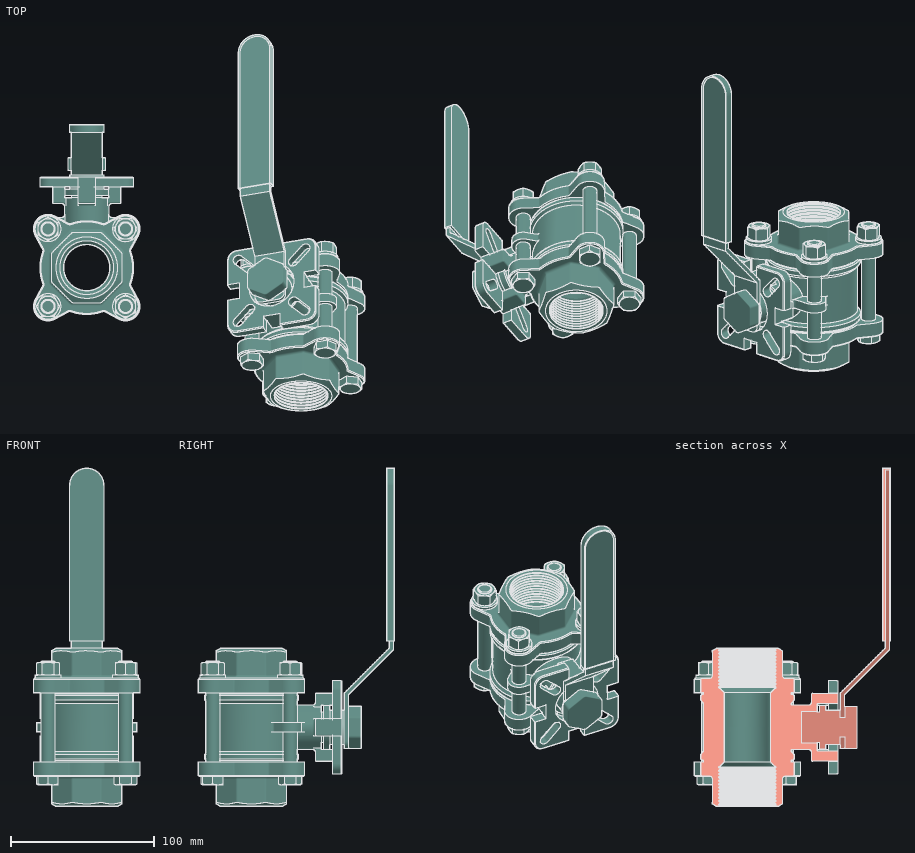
import cadquery as cq
import math


valve_half_length = 55.0
bore_diameter = 32.0
thread_crest_diameter = 37.4
thread_depth = 1.2
thread_pitch = 2.4
thread_count = 12
thread_flat = 0.5
body_radius = 30.5
ring_radius = 65.0 / 2
ring_bottom = 18.8
ring_top = 23.0
ring_cone_height = 2.0
ring_chamfer = 1.0
flange_bottom = 24.0
flange_top = 34.0
flange_chamfer = 0.7
flange_corner_fillet = 2.0
lug_radius = 10.0
lug_flank_angle = 28.5
octagon_across_flats = 48.9
octagon_edge_fillet = 2.0
octagon_cove = 2.0
octagon_end_diameter = 42.8
octagon_end_angle = 30

bolt_offset = 26.9
bolt_diameter = 9.9
bolt_chamfer = 0.7
bolt_end = 46.0
bolt_across_flats = 14.0
nut_bottom = 36.2
nut_top = 45.1
washer_radius = 9.0
head_height = 5.9
bolt_bevel_angle = 30

rest_thickness = 6.3
rest_radius = 8.0
rest_fillet = 1.9

neck_diameter = 31.0
neck_top = 48.6
arm_width = 12.2
arm_reach = 23.7
arm_bottom = 44.5
arm_edge_fillet = 1.0
arm_gusset = 1.9
plate_bottom = 56.2
plate_top = 63.0
plate_width = 65.0
plate_corner_radius = 6.8
plate_chamfer = 0.7
plate_bore_diameter = 33.0
slot_inner_offset = 16.0
slot_outer_offset = 24.7
slot_width = 7.0

stem_diameter = 21.5
stem_socket_floor = 37.5
gland_nut_bottom = 50.0
gland_nut_top = 54.5
gland_nut_diameter = 30.5
collar_diameter = 24.0
lever_seat_diameter = 13.9
stem_nut_top = 76.4
stem_nut_across_flats = 26.3
stem_nut_corner_fillet = 2.8
stem_nut_edge_fillet = 0.7

lever_width = 21.6
lever_thickness = 3.0
lever_seat = 64.5
lever_foot = -14.8
lever_foot_radius = 4.7
lever_bend_height = 23.7
lever_bend_angle = 45
lever_rise = 31.3
grip_diameter = 24.0
grip_thickness = 5.5
grip_bottom = 60.0
grip_top = 235 - valve_half_length
grip_outer_y = 99.29

selection_margin = 0.12

lever_seat_top = lever_seat + lever_thickness


def cylinder(diameter, bottom, top):
    return cq.Workplane("XY").workplane(offset=bottom).circle(diameter / 2).extrude(top - bottom)


def hexagon(across_flats, bottom, top):
    """Hexagonal prism along Z with a corner on the X axis."""
    across_corners = across_flats / math.cos(math.radians(30))
    return cq.Workplane("XY").workplane(offset=bottom).polygon(6, across_corners).extrude(top - bottom)


def stand_along_y(shape):
    """Turn a shape built along +Z so that it points along +Y."""
    return shape.rotate((0, 0, 0), (1, 0, 0), -90)


def quarter_turns(shape, count=4):
    """Copies of a shape turned in steps of 90 degrees about the Z axis, joined together."""
    copies = shape
    for turn in range(1, count):
        copies = copies.union(shape.rotate((0, 0, 0), (0, 0, 1), 90 * turn))
    return copies


def edges_near(shape, low, high, kind=None):
    """Edges, of one direction if asked, whose centres lie between two corner points."""
    return shape.edges(kind).edges(cq.selectors.BoxSelector(low, high))


def bevel_cone(tip_diameter, tip, base, angle):
    """Solid cone that widens from its tip plane to its base plane; it bevels what it is crossed with."""
    height = abs(base - tip)
    tip_radius = tip_diameter / 2
    base_radius = tip_radius + height / math.tan(math.radians(angle))
    profile = cq.Workplane("XZ").polyline([(0, tip), (tip_radius, tip), (base_radius, base), (0, base)])
    return profile.close().revolve(360, (0, 0, 0), (0, 1, 0))


def body_barrel():
    """Plain barrel with a raised ring next to each end cap."""
    outline = [
        (0, 0),
        (body_radius, 0),
        (body_radius, ring_bottom - ring_cone_height),
        (ring_radius, ring_bottom),
        (ring_radius, ring_top - ring_chamfer),
        (ring_radius - ring_chamfer, ring_top),
        (body_radius, ring_top),
        (body_radius, flange_bottom),
        (0, flange_bottom),
    ]
    half = cq.Workplane("XZ").polyline(outline).close().revolve(360, (0, 0, 0), (0, 1, 0))
    return half.union(half.mirror("XY"))


def flange():
    """Round flange with four bolt lugs whose straight flanks run into the disc."""
    thickness = flange_top - flange_bottom
    flank = math.radians(lug_flank_angle)
    tangent_x = bolt_offset - lug_radius * math.sin(flank)
    tangent_y = bolt_offset + lug_radius * math.cos(flank)
    axis_crossing = tangent_y - tangent_x * math.tan(flank)
    plane = cq.Workplane("XY").workplane(offset=flange_bottom)
    lug = plane.center(bolt_offset, bolt_offset).circle(lug_radius).extrude(thickness)
    web_outline = [
        (0, axis_crossing),
        (tangent_x, tangent_y),
        (tangent_y, tangent_x),
        (axis_crossing, 0),
    ]
    web = plane.polyline(web_outline).close().extrude(thickness)
    disc = plane.circle(ring_radius).extrude(thickness)
    shape = disc.union(quarter_turns(lug.union(web))).clean()

    def is_inner_corner(edge):
        middle = edge.Center()
        return abs(math.hypot(middle.x, middle.y) - ring_radius) < flange_chamfer / 10

    corners = [e for e in shape.edges("|Z").vals() if is_inner_corner(e)]
    shape = shape.newObject(corners).fillet(flange_corner_fillet)
    return shape.faces(">Z").edges().chamfer(flange_chamfer)


def end_cap():
    """Flange with an octagonal threaded end."""
    octagon_diameter = octagon_across_flats / math.cos(math.pi / 8)
    octagon = (
        cq.Workplane("XY")
        .workplane(offset=flange_top)
        .polygon(8, octagon_diameter)
        .extrude(valve_half_length - flange_top)
        .rotate((0, 0, 0), (0, 0, 1), 180 / 8)
        .edges("|Z")
        .fillet(octagon_edge_fillet)
    )
    cap = flange().union(octagon)
    reach = octagon_diameter / 2
    foot_low = (-reach, -reach, flange_top - selection_margin)
    foot_high = (reach, reach, flange_top + selection_margin)
    cap = edges_near(cap, foot_low, foot_high).fillet(octagon_cove)
    bevel = bevel_cone(octagon_end_diameter, valve_half_length, flange_bottom, octagon_end_angle)
    return cap.intersect(bevel)


def flow_bore():
    """Through bore that widens into a ring-grooved threaded stretch at each end."""
    crest = thread_crest_diameter / 2
    root = crest + thread_depth
    thread_end = valve_half_length - thread_count * thread_pitch
    step = crest - bore_diameter / 2
    outline = [(0, 0), (bore_diameter / 2, 0), (bore_diameter / 2, thread_end - step), (crest, thread_end)]
    for turn in range(thread_count):
        groove_start = thread_end + turn * thread_pitch
        groove_end = groove_start + thread_pitch - thread_flat
        groove_middle = (groove_start + groove_end) / 2
        outline.append((root, groove_middle - thread_flat / 2))
        outline.append((root, groove_middle + thread_flat / 2))
        outline.append((crest, groove_end))
        outline.append((crest, groove_start + thread_pitch))
    outline.append((0, valve_half_length))
    half = cq.Workplane("XZ").polyline(outline).close().revolve(360, (0, 0, 0), (0, 1, 0))
    return half.union(half.mirror("XY"))


def flange_bolt():
    """Bolt along Z with a head below the lower flange and a washer and nut above the upper one."""
    head_bottom = -flange_top - head_height
    shank = cylinder(bolt_diameter, -flange_top, bolt_end).faces(">Z").edges().chamfer(bolt_chamfer)
    head = hexagon(bolt_across_flats, head_bottom, -flange_top).rotate((0, 0, 0), (0, 0, 1), 30)
    head = head.intersect(bevel_cone(bolt_across_flats, head_bottom, -flange_top, bolt_bevel_angle))
    nut = hexagon(bolt_across_flats, nut_bottom, nut_top)
    nut = nut.intersect(bevel_cone(bolt_across_flats, nut_top, nut_bottom, bolt_bevel_angle))
    nut = nut.intersect(bevel_cone(bolt_across_flats, nut_bottom, nut_top, bolt_bevel_angle))
    washer = cylinder(2 * washer_radius, flange_top, nut_bottom)
    return shank.union(head).union(washer).union(nut)


def flange_bolts():
    return quarter_turns(flange_bolt().translate((bolt_offset, bolt_offset, 0)))


def bolt_rest():
    """Lug on the +X side that wraps a bolt and joins the barrel and the neck."""
    plane = cq.Workplane("XY").workplane(offset=-rest_thickness / 2)
    rounded = plane.center(bolt_offset, bolt_offset).circle(rest_radius).extrude(rest_thickness)
    rest_top = bolt_offset + rest_radius
    diagonal = rest_radius * math.sqrt(0.5)
    outline = [
        (0, 0),
        (0, rest_top),
        (bolt_offset, rest_top),
        (bolt_offset + diagonal, bolt_offset - diagonal),
        (2 * diagonal, 0),
    ]
    return rounded.union(plane.polyline(outline).close().extrude(rest_thickness))


def neck_with_arm():
    """Neck along +Z with one arm that reaches along +X; a cove and rounded edges soften the arm."""
    neck = cylinder(neck_diameter, ring_radius / 2, neck_top)
    arm = (
        cq.Workplane("XY")
        .box(arm_reach, arm_width, plate_bottom - arm_bottom, centered=(False, True, False))
        .translate((0, 0, arm_bottom))
    )
    shape = neck.union(arm)
    half = arm_width / 2
    under_low = (neck_diameter / 4, -half, arm_bottom - selection_margin)
    under_high = (neck_diameter / 2, half, arm_bottom + selection_margin)
    shape = edges_near(shape, under_low, under_high, "%CIRCLE").fillet(arm_gusset)
    rounded_low = (neck_diameter / 2 + arm_gusset, -arm_width, arm_bottom - selection_margin)
    rounded_high = (arm_reach + selection_margin, arm_width, plate_bottom - selection_margin)
    return edges_near(shape, rounded_low, rounded_high).fillet(arm_edge_fillet)


def arm_end():
    """Upper stretch of an arm that fills one notch of the plate."""
    return (
        cq.Workplane("XY")
        .box(arm_reach, arm_width, plate_top - plate_bottom, centered=(False, True, False))
        .faces(">Z")
        .edges(">X")
        .chamfer(plate_chamfer)
        .translate((0, 0, plate_bottom))
    )


def actuator_plate():
    """Square plate with a notch in each side and a diagonal slot in each corner, built along Z."""
    plate = (
        cq.Workplane("XY")
        .workplane(offset=plate_bottom)
        .rect(plate_width, plate_width)
        .extrude(plate_top - plate_bottom)
        .edges("|Z")
        .fillet(plate_corner_radius)
        .faces(">Z")
        .edges()
        .chamfer(plate_chamfer)
    )
    notch_depth = plate_width / 2 - arm_reach
    notch = (
        cq.Workplane("XY")
        .box(notch_depth, arm_width, plate_top, centered=(False, True, False))
        .translate((arm_reach, 0, plate_bottom))
    )
    slot_middle = (slot_inner_offset + slot_outer_offset) / math.sqrt(2)
    slot_length = (slot_outer_offset - slot_inner_offset) * math.sqrt(2) + slot_width
    slot = (
        cq.Workplane("XY")
        .center(slot_middle, 0)
        .slot2D(slot_length, slot_width)
        .extrude(plate_top)
        .translate((0, 0, plate_bottom))
        .rotate((0, 0, 0), (0, 0, 1), 45)
    )
    return plate.cut(quarter_turns(notch)).cut(quarter_turns(slot))


def topworks():
    """Neck and actuator plate joined by four arms, with a round clearance above the neck."""
    shape = actuator_plate().union(quarter_turns(neck_with_arm())).union(quarter_turns(arm_end()))
    clearance = cylinder(plate_bore_diameter, neck_top, plate_top)
    return stand_along_y(shape.cut(clearance))


def core():
    """Barrel, neck, plate and bolt rests, with coves where the rests meet the barrel and the neck."""
    rest = bolt_rest()
    shape = body_barrel().union(topworks()).union(rest).union(rest.mirror("YZ"))
    half = rest_thickness / 2
    rest_top = bolt_offset + rest_radius
    barrel_reach = 4.7
    neck_reach = 2.4
    barrel_corner_top = body_radius / 2 + neck_reach
    for side in (-1, 1):
        low = (side * body_radius - barrel_reach, barrel_reach, -half)
        high = (side * body_radius + barrel_reach, barrel_corner_top, half)
        shape = edges_near(shape, low, high, "|Z").fillet(rest_fillet)
        low = (side * neck_diameter / 2 - neck_reach, rest_top - selection_margin, -half)
        high = (side * neck_diameter / 2 + neck_reach, rest_top + selection_margin, half)
        shape = edges_near(shape, low, high, "%CIRCLE").fillet(rest_fillet)
    return shape


def make_valve():
    cap = end_cap()
    valve = core().union(cap).union(cap.mirror("XY")).union(flange_bolts())
    stem_socket = stand_along_y(cylinder(stem_diameter, stem_socket_floor, neck_top))
    return valve.cut(flow_bore()).cut(stem_socket)


def make_stem():
    shaft = cylinder(stem_diameter, stem_socket_floor, gland_nut_bottom)
    gland_nut = cylinder(gland_nut_diameter, gland_nut_bottom, gland_nut_top)
    collar = cylinder(collar_diameter, gland_nut_top, lever_seat)
    seat = cylinder(lever_seat_diameter, lever_seat, lever_seat_top)
    clamping_nut = (
        hexagon(stem_nut_across_flats, lever_seat_top, stem_nut_top)
        .rotate((0, 0, 0), (0, 0, 1), 30)
        .edges("|Z")
        .fillet(stem_nut_corner_fillet)
        .faces("<Z or >Z")
        .edges()
        .fillet(stem_nut_edge_fillet)
    )
    return stand_along_y(shaft.union(gland_nut).union(collar).union(seat).union(clamping_nut))


def rounded_strip(width, bottom, tip_centre, depth):
    """Upright strip with a half-round top, from y = 0 to y = depth."""
    half = width / 2
    outline = (
        cq.Workplane("XZ")
        .moveTo(-half, bottom)
        .lineTo(half, bottom)
        .lineTo(half, tip_centre)
        .threePointArc((0, tip_centre + half), (-half, tip_centre))
        .close()
    )
    return outline.extrude(-depth)


def make_lever():
    bend = math.radians(lever_bend_angle)
    mitre = lever_thickness * math.tan(bend / 2)
    upper_y = lever_seat + lever_rise
    upper_bend_height = lever_bend_height + lever_rise / math.tan(bend)
    tip_centre = grip_top - grip_diameter / 2
    lever_top = tip_centre + lever_width / 2
    profile = [
        (lever_seat, lever_foot),
        (lever_seat, lever_bend_height),
        (upper_y, upper_bend_height),
        (upper_y, lever_top),
        (upper_y + lever_thickness, lever_top),
        (upper_y + lever_thickness, upper_bend_height - mitre),
        (lever_seat_top, lever_bend_height - mitre),
        (lever_seat_top, lever_foot),
    ]
    bar = cq.Workplane("YZ").polyline(profile).close().extrude(lever_width / 2, both=True)
    bar = bar.edges("|Y and <Z").fillet(lever_foot_radius)
    bar = bar.intersect(rounded_strip(lever_width, lever_foot, tip_centre, grip_outer_y))
    return bar.cut(stand_along_y(cylinder(lever_seat_diameter, lever_seat, lever_seat_top)))


def make_grip(lever):
    strip = rounded_strip(grip_diameter, grip_bottom, grip_top - grip_diameter / 2, grip_thickness)
    return strip.translate((0, grip_outer_y - grip_thickness, 0)).cut(lever)


valve = make_valve()
stem = make_stem()
lever = make_lever()
grip = make_grip(lever)

result = cq.Compound.makeCompound([valve.val(), stem.val(), lever.val(), grip.val()])